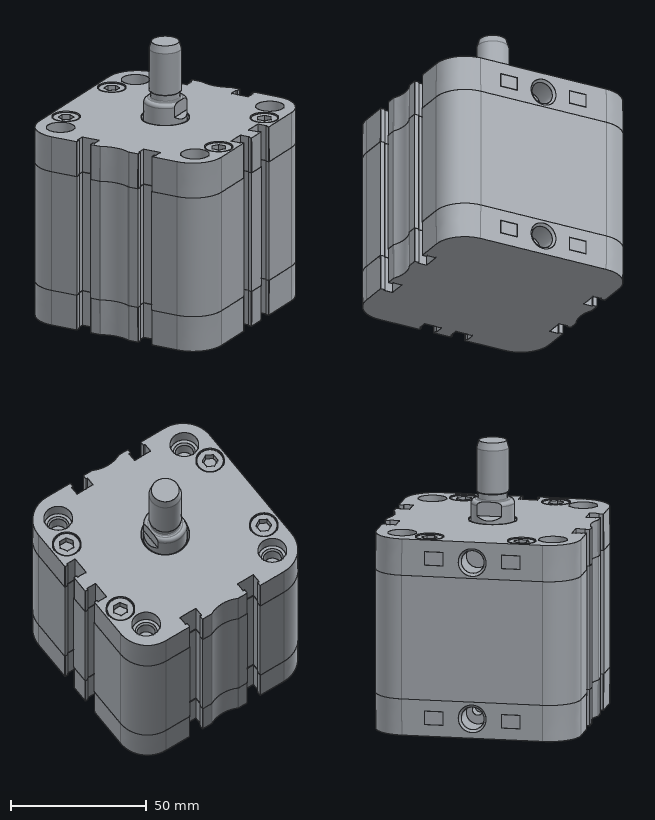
import cadquery as cq
import math

WIDTH = 77.0
BODY_HEIGHT = 74.2
COVER_HEIGHT = 13.7
COVER_DRAFT = 0.3
CORNER_RADIUS = 12.1
HALF = WIDTH / 2
BARREL_BOTTOM = COVER_HEIGHT
BARREL_TOP = BODY_HEIGHT - COVER_HEIGHT

SLOT_NECK_WIDTH = 5.7
SLOT_INNER_WIDTH = 6.8
COVER_SLOT_CLEARANCE = 0.3
COVER_SLOT_CHAMFER = 0.2
Y_SIDE_SLOT_LIP = 1.9
X_SIDE_SLOT_LIP = 1.4
Y_SIDE_SLOT_DEPTH = 5.1
X_SIDE_SLOT_DEPTH = 4.8
Y_SIDE_SLOT_OFFSET = 12.9
X_SIDE_SLOT_OFFSET = 6.5

HOLLOW_WIDTH = 12.0
HOLLOW_DEPTH = 1.5
HOLLOW_EDGE_FILLET = 0.6

MOUNT_OFFSET = 28.3
MOUNT_BORE_DIAMETER = 10.5
MOUNT_BORE_DEPTH = 5.0
MOUNT_HOLE_DIAMETER = 6.7
MOUNT_HOLE_DEPTH = 10.4
MOUNT_CHAMFER_DIAMETER = 8.0

SCREW_X = 32.1
SCREW_Y = 17.3
SCREW_BORE_DIAMETER = 10.5
SCREW_HEAD_DIAMETER = 10.0
SCREW_HEAD_TOP_DIAMETER = 9.8
SCREW_HEAD_DROP = 0.3
SCREW_RING_DEPTH = 1.0
HEX_ACROSS_FLATS = 5.0
HEX_DEPTH = 2.6

PORT_DIAMETER = 8.5
PORT_MOUTH_DIAMETER = 10.5
PORT_DEPTH = 10.4
LOWER_PORT_Z = 7.4
UPPER_PORT_Z = 66.5
AIR_HOLE_DIAMETER = 4.0
AIR_HOLE_DEPTH = 5.2
AIR_HOLE_RISE = 1.0

PANEL_WIDTH = 7.0
PANEL_HEIGHT = 5.1
PANEL_DEPTH = 0.2
PANEL_Y = 14.5
PANEL_END_DISTANCE = 7.0
PANEL_FACE_INSET = (COVER_HEIGHT - PANEL_END_DISTANCE) * math.tan(math.radians(COVER_DRAFT))

TOTAL_HEIGHT = 104.0
ROD_DIAMETER = 16.0
COLLAR_TOP = 82.0
COLLAR_FILLET = 1.6
FLATS_WIDTH = 13.0
FLATS_BOTTOM = 76.6
NECK_DIAMETER = 10.7
NECK_BASE_FILLET = 0.3
THREAD_DIAMETER = 12.0
THREAD_BOTTOM = 84.9
THREAD_RUNOUT = 0.4
TIP_DIAMETER = 10.3
TIP_LENGTH = 2.8

WIPER_MOUTH_DIAMETER = 18.0
WIPER_DIAMETER = 17.7
WIPER_DEPTH = 0.4
GUIDE_DIAMETER = 16.5
GUIDE_DEPTH = 2.1


def hollow_section(side):
    """Circle that dips into the +Y (side = 1) or -Y (side = -1) face."""
    radius = ((HOLLOW_WIDTH / 2) ** 2 + HOLLOW_DEPTH**2) / (2 * HOLLOW_DEPTH)
    centre_y = side * (HALF - HOLLOW_DEPTH + radius)
    return cq.Sketch().circle(radius).moved(cq.Location(cq.Vector(0, centre_y, 0)))


def body_section():
    """Cross-section of the barrel, and of the inner ends of both covers, before slotting."""
    section = cq.Sketch().rect(WIDTH, WIDTH).vertices().fillet(CORNER_RADIUS).reset()
    section = section.face(hollow_section(1), mode="s").face(hollow_section(-1), mode="s")
    hollow_zone = cq.selectors.BoxSelector((-HOLLOW_WIDTH, -WIDTH, -1), (HOLLOW_WIDTH, WIDTH, 1))
    return section.vertices(hollow_zone).fillet(HOLLOW_EDGE_FILLET).reset()


def slot_cutter(lip, depth, clearance, chamfer, bottom, height):
    """T-shaped slot opening towards +Y; the clearance widens and deepens its inner part."""
    neck_half = SLOT_NECK_WIDTH / 2
    inner_half = (SLOT_INNER_WIDTH + clearance) / 2
    outside = 1.0
    right_side = [
        (inner_half, -depth - clearance),
        (inner_half, -lip),
        (neck_half, -lip),
    ]
    if chamfer > 0:
        right_side.append((neck_half, -chamfer))
    right_side += [(neck_half + chamfer, 0), (neck_half + chamfer, outside)]
    left_side = [(-x, y) for x, y in reversed(right_side)]
    section = cq.Workplane("XY", origin=(0, 0, bottom)).polyline(right_side + left_side).close()
    return section.extrude(height)


def cut_slots(body, bottom, height, clearance, chamfer):
    """Cut the four Y-side slots and the two X-side slots through a body."""
    y_slot = slot_cutter(Y_SIDE_SLOT_LIP, Y_SIDE_SLOT_DEPTH, clearance, chamfer, bottom, height)
    x_slot = slot_cutter(X_SIDE_SLOT_LIP, X_SIDE_SLOT_DEPTH, clearance, chamfer, bottom, height)
    x_slot = x_slot.rotate((0, 0, 0), (0, 0, 1), -90)
    for sign in (1, -1):
        plus_y_slot = y_slot.translate((sign * Y_SIDE_SLOT_OFFSET, HALF, 0))
        body = body.cut(plus_y_slot).cut(plus_y_slot.mirror("XZ"))
        body = body.cut(x_slot.translate((HALF, sign * X_SIDE_SLOT_OFFSET, 0)))
    return body


def cover_blank():
    """Drafted, slotted cover standing on z = 0 with its wide end down."""
    blank = cq.Workplane("XY").placeSketch(body_section()).extrude(COVER_HEIGHT, taper=COVER_DRAFT)
    return cut_slots(blank, 0, COVER_HEIGHT, COVER_SLOT_CLEARANCE, COVER_SLOT_CHAMFER)


def port(z):
    """Blind port bored from the -X side, with a chamfered mouth."""
    mouth_depth = (PORT_MOUTH_DIAMETER - PORT_DIAMETER) / 2
    points = [
        (-HALF, 0),
        (-HALF, PORT_MOUTH_DIAMETER / 2),
        (-HALF + mouth_depth, PORT_DIAMETER / 2),
        (-HALF + PORT_DEPTH, PORT_DIAMETER / 2),
        (-HALF + PORT_DEPTH, 0),
    ]
    profile = cq.Workplane("XZ", origin=(0, 0, z)).polyline(points).close()
    return profile.revolve(360, (0, 0, 0), (1, 0, 0))


def label_panels(z):
    """Two shallow rectangular recesses beside a port."""
    panels = cq.Workplane("YZ", origin=(-HALF, 0, z)).pushPoints([(PANEL_Y, 0), (-PANEL_Y, 0)])
    return panels.rect(PANEL_WIDTH, PANEL_HEIGHT).extrude(PANEL_FACE_INSET + PANEL_DEPTH)


def mounting_hole(x, y):
    """Counterbored blind hole with a countersunk inner edge."""
    floor_z = BODY_HEIGHT - MOUNT_BORE_DEPTH
    chamfer = (MOUNT_CHAMFER_DIAMETER - MOUNT_HOLE_DIAMETER) / 2
    points = [
        (0, BODY_HEIGHT),
        (MOUNT_BORE_DIAMETER / 2, BODY_HEIGHT),
        (MOUNT_BORE_DIAMETER / 2, floor_z),
        (MOUNT_CHAMFER_DIAMETER / 2, floor_z),
        (MOUNT_HOLE_DIAMETER / 2, floor_z - chamfer),
        (MOUNT_HOLE_DIAMETER / 2, BODY_HEIGHT - MOUNT_HOLE_DEPTH),
        (0, BODY_HEIGHT - MOUNT_HOLE_DEPTH),
    ]
    profile = cq.Workplane("XZ").polyline(points).close()
    return profile.revolve(360, (0, 0, 0), (0, 1, 0)).translate((x, y, 0))


def screw_head_cut(x, y):
    """Space above and around a sunken screw head with a bevelled rim, and its hexagon socket."""
    head_z = BODY_HEIGHT - SCREW_HEAD_DROP
    rim = (SCREW_HEAD_DIAMETER - SCREW_HEAD_TOP_DIAMETER) / 2
    points = [
        (0, BODY_HEIGHT),
        (SCREW_BORE_DIAMETER / 2, BODY_HEIGHT),
        (SCREW_BORE_DIAMETER / 2, BODY_HEIGHT - SCREW_RING_DEPTH),
        (SCREW_HEAD_DIAMETER / 2, BODY_HEIGHT - SCREW_RING_DEPTH),
        (SCREW_HEAD_DIAMETER / 2, head_z - rim),
        (SCREW_HEAD_TOP_DIAMETER / 2, head_z),
        (0, head_z),
    ]
    ring = cq.Workplane("XZ").polyline(points).close().revolve(360, (0, 0, 0), (0, 1, 0))
    across_corners = HEX_ACROSS_FLATS / math.cos(math.radians(30))
    turn = 30 if x < 0 else 0
    head_plane = cq.Workplane("XY", origin=(0, 0, head_z)).transformed(rotate=(0, 0, turn))
    socket = head_plane.polygon(6, across_corners).extrude(-HEX_DEPTH)
    return ring.union(socket).translate((x, y, 0))


def rod_passage():
    """Stepped bore for the rod: chamfered wiper recess, funnel, clearance, then a close fit."""
    funnel = (WIPER_DIAMETER - GUIDE_DIAMETER) / 2
    mouth = (WIPER_MOUTH_DIAMETER - WIPER_DIAMETER) / 2
    points = [
        (0, BARREL_TOP),
        (ROD_DIAMETER / 2, BARREL_TOP),
        (ROD_DIAMETER / 2, BODY_HEIGHT - GUIDE_DEPTH),
        (GUIDE_DIAMETER / 2, BODY_HEIGHT - GUIDE_DEPTH),
        (GUIDE_DIAMETER / 2, BODY_HEIGHT - WIPER_DEPTH - funnel),
        (WIPER_DIAMETER / 2, BODY_HEIGHT - WIPER_DEPTH),
        (WIPER_DIAMETER / 2, BODY_HEIGHT - mouth),
        (WIPER_MOUTH_DIAMETER / 2, BODY_HEIGHT),
        (0, BODY_HEIGHT),
    ]
    return cq.Workplane("XZ").polyline(points).close().revolve(360, (0, 0, 0), (0, 1, 0))


def make_barrel():
    length = BARREL_TOP - BARREL_BOTTOM
    section = cq.Workplane("XY", origin=(0, 0, BARREL_BOTTOM)).placeSketch(body_section())
    return cut_slots(section.extrude(length), BARREL_BOTTOM, length, 0, 0)


def make_bottom_cover():
    cover = cover_blank().mirror("XY").translate((0, 0, COVER_HEIGHT))
    cover = cover.cut(port(LOWER_PORT_Z))
    air_hole_plane = cq.Workplane("YZ", origin=(-HALF + PORT_DEPTH, 0, LOWER_PORT_Z + AIR_HOLE_RISE))
    cover = cover.cut(air_hole_plane.circle(AIR_HOLE_DIAMETER / 2).extrude(AIR_HOLE_DEPTH))
    return cover.cut(label_panels(PANEL_END_DISTANCE))


def make_top_cover():
    cover = cover_blank().translate((0, 0, BARREL_TOP))
    cover = cover.cut(port(UPPER_PORT_Z))
    cover = cover.cut(label_panels(BODY_HEIGHT - PANEL_END_DISTANCE))
    cover = cover.cut(rod_passage())
    for x_sign in (1, -1):
        for y_sign in (1, -1):
            cover = cover.cut(mounting_hole(x_sign * MOUNT_OFFSET, y_sign * MOUNT_OFFSET))
            cover = cover.cut(screw_head_cut(x_sign * SCREW_X, y_sign * SCREW_Y))
    return cover


def wrench_flat(side):
    """Material removed beside one flat, ending below in a 45 degree ramp."""
    flat_x = FLATS_WIDTH / 2
    reach = ROD_DIAMETER / 2
    points = [
        (side * flat_x, COLLAR_TOP),
        (side * flat_x, FLATS_BOTTOM),
        (side * reach, FLATS_BOTTOM - (reach - flat_x)),
        (side * reach, COLLAR_TOP),
    ]
    return cq.Workplane("XZ").polyline(points).close().extrude(ROD_DIAMETER / 2, both=True)


def make_piston_rod():
    rod_radius = ROD_DIAMETER / 2
    neck_radius = NECK_DIAMETER / 2
    fillet_mid = COLLAR_FILLET * math.sqrt(0.5)
    fillet_x = rod_radius - COLLAR_FILLET
    fillet_z = COLLAR_TOP - COLLAR_FILLET
    profile = (
        cq.Workplane("XZ")
        .moveTo(0, BARREL_TOP)
        .lineTo(rod_radius, BARREL_TOP)
        .lineTo(rod_radius, fillet_z)
        .threePointArc((fillet_x + fillet_mid, fillet_z + fillet_mid), (fillet_x, COLLAR_TOP))
        .lineTo(neck_radius + NECK_BASE_FILLET, COLLAR_TOP)
        .radiusArc((neck_radius, COLLAR_TOP + NECK_BASE_FILLET), NECK_BASE_FILLET)
        .lineTo(neck_radius, THREAD_BOTTOM - THREAD_RUNOUT)
        .lineTo(THREAD_DIAMETER / 2, THREAD_BOTTOM)
        .lineTo(THREAD_DIAMETER / 2, TOTAL_HEIGHT - TIP_LENGTH)
        .lineTo(TIP_DIAMETER / 2, TOTAL_HEIGHT)
        .lineTo(0, TOTAL_HEIGHT)
        .close()
    )
    rod = profile.revolve(360, (0, 0, 0), (0, 1, 0))
    for side in (1, -1):
        rod = rod.cut(wrench_flat(side))
    return rod


barrel = make_barrel()
bottom_cover = make_bottom_cover()
top_cover = make_top_cover()
piston_rod = make_piston_rod()

result = cq.Compound.makeCompound(
    [barrel.val(), bottom_cover.val(), top_cover.val(), piston_rod.val()]
)